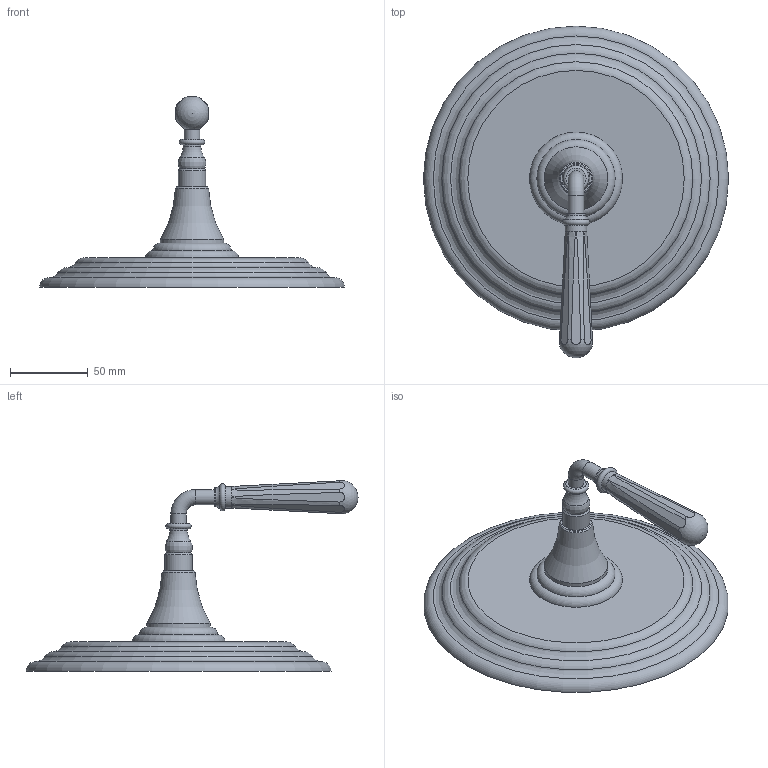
import cadquery as cq
import math

PLATE_RADIUS = 98.425
PLATE_TOP_RADIUS = 69.85
STEP_HEIGHT = 6.35
OGEE_COUNT = 2
RIM_TOP_RADIUS = PLATE_RADIUS - STEP_HEIGHT
OGEE_RUN = (RIM_TOP_RADIUS - PLATE_TOP_RADIUS) / OGEE_COUNT
PLATE_TOP_Z = STEP_HEIGHT * (OGEE_COUNT + 1)

RING_RADIUS = 4.75
RING_COUNT = 2
BELL_BASE_RADIUS = 20.5
BELL_BASE_HEIGHT = 2.5
BELL_TOP_RADIUS = 10.65
BELL_TOP_Z = 64.9
BELL_FLARE_SAG = 2.2
BELL_TOP_CHAMFER = 0.75
BELL_BASE_Z = PLATE_TOP_Z + RING_COUNT * RING_RADIUS

SLEEVE_RADIUS = 8.8
SLEEVE_TOP_Z = 76.6
SLEEVE_CHAMFER_HEIGHT = 1.3
BULB_BASE_RADIUS = 8.0
BULB_MAX_RADIUS = 9.0
BULB_MAX_Z = 79.8
BULB_TOP_RADIUS = 8.0
BULB_TOP_Z = 83.7
NECK_RADIUS = 5.7
NECK_TOP_Z = 90.8
NECK_SAG = 0.5
STEM_BEAD_BASE_Z = 92.1
STEM_BEAD_TOP_Z = 95.5
STEM_BEAD_RADIUS = 8.2

TUBE_RADIUS = 4.95
BEND_RADIUS = 10.8
LEVER_Z = 112.4

COLLAR_START = 22.9
COLLAR_RADIUS = 6.0
COLLAR_LENGTH = 0.9
FLARE_RADIUS = 7.5
FLARE_SAG = 0.3
LEVER_BEAD_START = 26.5
LEVER_BEAD_END = 30.2
GRIP_START = 34.1
GRIP_START_RADIUS = 6.95
DOME_RADIUS = 11.06
LEVER_LENGTH = 115.77
DOME_CENTER = LEVER_LENGTH - DOME_RADIUS
FLAT_COUNT = 8
FLAT_DEPTH = 0.43


def between(start, end, sag):
    """Point on the arc from start to end that lies `sag` to the left of the chord's middle."""
    run = end[0] - start[0]
    rise = end[1] - start[1]
    length = math.hypot(run, rise)
    middle_x = (start[0] + end[0]) / 2 - sag * rise / length
    middle_y = (start[1] + end[1]) / 2 + sag * run / length
    return (middle_x, middle_y)


def turned(profile):
    """Revolve a (radius, height) profile, starting and ending on the axis, about Z."""
    return profile.close().revolve(360, (0, 0, 0), (0, 1, 0))


def quarter_round(profile, center_radius, base_z, radius):
    """Continue the profile with a convex quarter circle, from upright to flat."""
    offset = radius * math.sqrt(0.5)
    return profile.threePointArc(
        (center_radius + offset, base_z + offset),
        (center_radius, base_z + radius),
    )


def bead(profile, outer_radius, base_z, top_z):
    """Continue the profile with a half-round bead between two heights."""
    half_height = (top_z - base_z) / 2
    flank_radius = outer_radius - half_height
    profile = profile.lineTo(flank_radius, base_z)
    return profile.threePointArc((outer_radius, base_z + half_height), (flank_radius, top_z))


def make_plate():
    profile = cq.Workplane("XZ").lineTo(PLATE_RADIUS, 0)
    profile = quarter_round(profile, RIM_TOP_RADIUS, 0, STEP_HEIGHT)
    for step in range(OGEE_COUNT):
        start = (RIM_TOP_RADIUS - step * OGEE_RUN, (step + 1) * STEP_HEIGHT)
        middle = (start[0] - OGEE_RUN / 2, start[1] + STEP_HEIGHT / 2)
        end = (start[0] - OGEE_RUN, start[1] + STEP_HEIGHT)
        half_chord = math.dist(start, middle) / 2
        sag = half_chord * math.tan(math.atan2(STEP_HEIGHT, OGEE_RUN) / 2)
        profile = profile.threePointArc(between(start, middle, sag), middle)
        profile = profile.threePointArc(between(middle, end, -sag), end)
    return turned(profile.lineTo(0, PLATE_TOP_Z))


def make_escutcheon():
    outer_radius = BELL_BASE_RADIUS + RING_COUNT * RING_RADIUS
    profile = cq.Workplane("XZ").lineTo(outer_radius, 0).lineTo(outer_radius, PLATE_TOP_Z)
    for ring in range(RING_COUNT):
        center_radius = outer_radius - (ring + 1) * RING_RADIUS
        profile = quarter_round(profile, center_radius, PLATE_TOP_Z + ring * RING_RADIUS, RING_RADIUS)
    flare_start = (BELL_BASE_RADIUS, BELL_BASE_Z + BELL_BASE_HEIGHT)
    flare_end = (BELL_TOP_RADIUS, BELL_TOP_Z - BELL_TOP_CHAMFER)
    profile = profile.lineTo(*flare_start)
    profile = profile.threePointArc(between(flare_start, flare_end, BELL_FLARE_SAG), flare_end)
    profile = profile.lineTo(BELL_TOP_RADIUS - BELL_TOP_CHAMFER, BELL_TOP_Z)
    return turned(profile.lineTo(0, BELL_TOP_Z))


def make_stem():
    bulb_top = (BULB_TOP_RADIUS, BULB_TOP_Z)
    neck_top = (NECK_RADIUS, NECK_TOP_Z)
    profile = cq.Workplane("XZ").lineTo(SLEEVE_RADIUS, 0)
    profile = profile.lineTo(SLEEVE_RADIUS, SLEEVE_TOP_Z - SLEEVE_CHAMFER_HEIGHT)
    profile = profile.lineTo(BULB_BASE_RADIUS, SLEEVE_TOP_Z)
    profile = profile.threePointArc((BULB_MAX_RADIUS, BULB_MAX_Z), bulb_top)
    profile = profile.threePointArc(between(bulb_top, neck_top, NECK_SAG), neck_top)
    profile = profile.lineTo(NECK_RADIUS, STEM_BEAD_BASE_Z)
    profile = bead(profile, STEM_BEAD_RADIUS, STEM_BEAD_BASE_Z, STEM_BEAD_TOP_Z)
    return turned(profile.lineTo(0, STEM_BEAD_TOP_Z))


def make_elbow():
    bend_start_z = LEVER_Z - BEND_RADIUS
    offset = BEND_RADIUS * (1 - math.sqrt(0.5))
    path = (
        cq.Workplane("YZ")
        .moveTo(0, NECK_TOP_Z)
        .lineTo(0, bend_start_z)
        .threePointArc((-offset, LEVER_Z - offset), (-BEND_RADIUS, LEVER_Z))
        .lineTo(-LEVER_BEAD_START, LEVER_Z)
    )
    return cq.Workplane("XY").workplane(offset=NECK_TOP_Z).circle(TUBE_RADIUS).sweep(path)


def make_flat_cutter():
    """Wedge whose sloping face dips below the grip cone towards the dome."""
    outer_height = 2 * DOME_RADIUS
    slope = (DOME_RADIUS - FLAT_DEPTH - GRIP_START_RADIUS) / (DOME_CENTER - GRIP_START)
    end_height = GRIP_START_RADIUS + slope * (LEVER_LENGTH - GRIP_START)
    return (
        cq.Workplane("XZ")
        .moveTo(GRIP_START_RADIUS, GRIP_START)
        .lineTo(end_height, LEVER_LENGTH)
        .lineTo(outer_height, LEVER_LENGTH)
        .lineTo(outer_height, GRIP_START)
        .close()
        .extrude(DOME_RADIUS, both=True)
    )


def make_lever():
    """Turned upright about Z, given its flats, then laid along -Y at lever height."""
    collar_end = COLLAR_START + COLLAR_LENGTH
    flare_start = (COLLAR_RADIUS, collar_end)
    flare_end = (FLARE_RADIUS, LEVER_BEAD_START)
    lever_bead_radius = GRIP_START_RADIUS + (LEVER_BEAD_END - LEVER_BEAD_START) / 2
    grip_length = DOME_CENTER - GRIP_START
    center_distance = math.hypot(grip_length, GRIP_START_RADIUS)
    grip_taper = math.asin(DOME_RADIUS / center_distance) - math.atan2(GRIP_START_RADIUS, grip_length)
    dome_offset = DOME_RADIUS * math.sqrt(0.5)
    profile = cq.Workplane("XZ").moveTo(0, COLLAR_START).lineTo(COLLAR_RADIUS, COLLAR_START)
    profile = profile.lineTo(*flare_start)
    profile = profile.threePointArc(between(flare_start, flare_end, FLARE_SAG), flare_end)
    profile = bead(profile, lever_bead_radius, LEVER_BEAD_START, LEVER_BEAD_END)
    profile = profile.lineTo(GRIP_START_RADIUS, GRIP_START)
    profile = profile.lineTo(
        DOME_RADIUS * math.cos(grip_taper),
        DOME_CENTER - DOME_RADIUS * math.sin(grip_taper),
    )
    profile = profile.threePointArc((dome_offset, DOME_CENTER + dome_offset), (0, LEVER_LENGTH))
    lever = turned(profile)
    cutter = make_flat_cutter()
    for index in range(FLAT_COUNT):
        angle = index * 360 / FLAT_COUNT
        lever = lever.cut(cutter.rotate((0, 0, 0), (0, 0, 1), angle))
    return lever.rotate((0, 0, 0), (1, 0, 0), 90).translate((0, 0, LEVER_Z))


result = make_plate()
for section in (make_escutcheon(), make_stem(), make_elbow(), make_lever()):
    result = result.union(section)